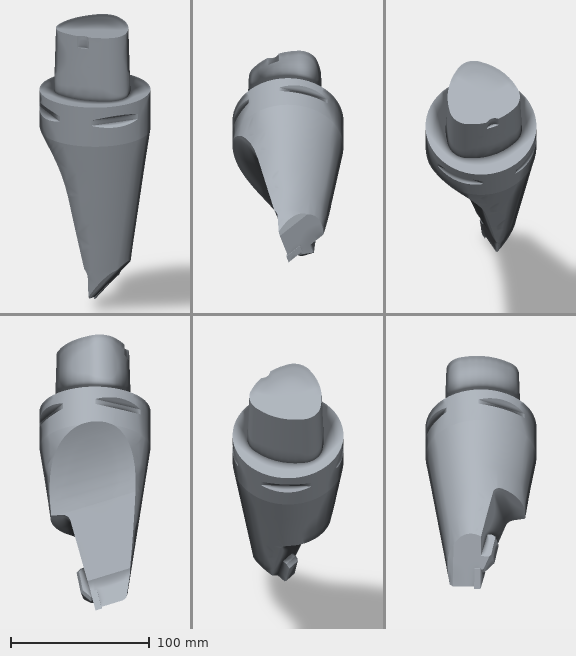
import cadquery as cq
import math


SHANK_HEIGHT = 47.8
SHANK_TAPER = 1.5
LOBE_COUNT = 3
LOBE_RADIUS = 29.7
FLANK_RADIUS = 25.4
SEAM_RADIUS = 27.9
SEAM_ANGLE = 20.6
KEYWAY_RADIUS = 6.2
KEYWAY_CENTRE_Y = -28.0
KEYWAY_HEIGHT = 8.7

FLANGE_DIAMETER = 80.0
FLANGE_RADIUS = FLANGE_DIAMETER / 2
FLANGE_HEIGHT = 30.0
NOTCH_COUNT = 4
NOTCH_FLAT_DISTANCE = 35.5
NOTCH_FLAT_TOP = -10.0
NOTCH_FLAT_BOTTOM = -14.0
NOTCH_MOUTH_TOP = -7.3
NOTCH_MOUTH_BOTTOM = -16.2

BODY_LENGTH = 160.2
BODY_END_RADIUS = 21.6

FRAME_TURN = math.radians(6)
FRAME_LIFT = math.radians(13.4)
CUT_REACH = 124.8
CUT_FLOOR = -3 * BODY_LENGTH

FLUTE_TOP = (-39.3, -29.0)
FACE_TOP = (-11.2, -78.6)
FACE_BOTTOM = (-0.8, -131.7)
STEP_MIDDLE = (1.0, -135.2)
STEP_BOTTOM = (1.5, -139.4)

RELIEF_FRONT = (1.5, -154.0)
RELIEF_BACK = (26.2, -124.8)
RELIEF_SLOPE = (RELIEF_BACK[1] - RELIEF_FRONT[1]) / (RELIEF_BACK[0] - RELIEF_FRONT[0])
HEEL_START = -15.5
HEEL_ANGLE = 20

WALL_ALONG = -36.8
LEDGE_Z = -86.7
WALL_FILLET = 6.2

BOSS_OUTLINE = [
    (-34.7, -116.5), (-40.1, -116.5), (-43.5, -118.5), (-44.3, -135.6), (-39.0, -144.4), (-34.7, -145.0),
]
BOSS_FRONT = 4.2
BOSS_DEPTH = 11.5
BOSS_CHAMFER = 2.0

INSERT_WIDTH = 4.8
INSERT_FRONT = 0.6
INSERT_BACK = 10.2
INSERT_TOP = -140.0
INSERT_TIP = -155.8
INSERT_BACK_BOTTOM = -144.1


def frame_axes():
    """Unit vectors of the cutting frame: across, along and up."""
    across = cq.Vector(math.cos(FRAME_TURN), math.sin(FRAME_TURN), 0)
    along = cq.Vector(
        math.sin(FRAME_TURN) * math.cos(FRAME_LIFT),
        -math.cos(FRAME_TURN) * math.cos(FRAME_LIFT),
        math.sin(FRAME_LIFT),
    )
    return across, along, along.cross(across)


ACROSS, ALONG, UP = frame_axes()


def profile_plane(along=0.0):
    """Plane with coordinates (across, up), whose normal runs along the cutting edge."""
    return cq.Workplane(cq.Plane(ALONG * along, ACROSS, ALONG))


def side_plane(across=0.0):
    """Plane with coordinates (-along, up), whose normal runs across into the blade."""
    return cq.Workplane(cq.Plane(ACROSS * across, ALONG * -1, ACROSS))


def polar_point(radius, angle):
    return radius * math.cos(math.radians(angle)), radius * math.sin(math.radians(angle))


def draw_lobed_outline(sketch, shrink):
    """Close an outline of lobe arcs and flank arcs, with one lobe towards +Y."""
    pitch = 360 / LOBE_COUNT
    first_crest = 90
    seam_radius = SEAM_RADIUS - shrink
    sketch = sketch.moveTo(*polar_point(seam_radius, first_crest - SEAM_ANGLE))
    for i in range(LOBE_COUNT):
        crest = first_crest + i * pitch
        sketch = sketch.threePointArc(
            polar_point(LOBE_RADIUS - shrink, crest),
            polar_point(seam_radius, crest + SEAM_ANGLE),
        )
        sketch = sketch.threePointArc(
            polar_point(FLANK_RADIUS - shrink, crest + pitch / 2),
            polar_point(seam_radius, crest + pitch - SEAM_ANGLE),
        )
    return sketch.close()


def make_shank():
    foot = draw_lobed_outline(cq.Workplane("XY"), 0)
    shank = draw_lobed_outline(foot.workplane(offset=SHANK_HEIGHT), SHANK_TAPER).loft(ruled=True)
    keyway = (
        cq.Workplane("XY", origin=(0, KEYWAY_CENTRE_Y, SHANK_HEIGHT - KEYWAY_HEIGHT))
        .circle(KEYWAY_RADIUS)
        .extrude(KEYWAY_HEIGHT)
    )
    return shank.cut(keyway)


def make_turned_body():
    """Cylindrical flange with the cone below it."""
    return (
        cq.Workplane("XZ")
        .moveTo(0, 0)
        .lineTo(FLANGE_RADIUS, 0)
        .lineTo(FLANGE_RADIUS, -FLANGE_HEIGHT)
        .lineTo(BODY_END_RADIUS, -BODY_LENGTH)
        .lineTo(0, -BODY_LENGTH)
        .close()
        .revolve(360, (0, 0, 0), (0, 1, 0))
    )


def make_notch(angle):
    """Gripper notch with a flat floor and flared sides."""
    return (
        cq.Workplane("XZ")
        .polyline([
            (NOTCH_FLAT_DISTANCE, NOTCH_FLAT_TOP),
            (FLANGE_RADIUS, NOTCH_MOUTH_TOP),
            (FLANGE_RADIUS, NOTCH_MOUTH_BOTTOM),
            (NOTCH_FLAT_DISTANCE, NOTCH_FLAT_BOTTOM),
        ])
        .close()
        .extrude(FLANGE_RADIUS, both=True)
        .rotate((0, 0, 0), (0, 0, 1), angle)
    )


def make_flute():
    """Cut that forms the curved flute, the rake face and the step above the insert."""
    face_direction = (FACE_TOP[0] - FACE_BOTTOM[0], FACE_TOP[1] - FACE_BOTTOM[1])
    chord_angle = math.atan2(FLUTE_TOP[1] - FACE_TOP[1], FLUTE_TOP[0] - FACE_TOP[0])
    end_angle = 2 * chord_angle - math.atan2(face_direction[1], face_direction[0])
    exit_point = (
        FLUTE_TOP[0] + FLANGE_RADIUS * math.cos(end_angle),
        FLUTE_TOP[1] + FLANGE_RADIUS * math.sin(end_angle),
    )
    return (
        profile_plane()
        .moveTo(STEP_BOTTOM[0], CUT_FLOOR)
        .lineTo(*STEP_BOTTOM)
        .threePointArc(STEP_MIDDLE, FACE_BOTTOM)
        .lineTo(*FACE_TOP)
        .tangentArcPoint(FLUTE_TOP, relative=False)
        .lineTo(*exit_point)
        .lineTo(-CUT_REACH, exit_point[1])
        .lineTo(-CUT_REACH, CUT_FLOOR)
        .close()
        .extrude(CUT_REACH, both=True)
    )


def make_side_cut():
    """Cut beside the blade: a level ledge, a rounded corner and the side wall."""
    def ledge_up(along):
        return (LEDGE_Z - along * math.sin(FRAME_LIFT)) / math.cos(FRAME_LIFT)

    outer_along = WALL_ALONG - CUT_REACH
    cut = (
        side_plane(-CUT_REACH)
        .polyline([
            (-WALL_ALONG, ledge_up(WALL_ALONG)),
            (-outer_along, ledge_up(outer_along)),
            (-outer_along, CUT_FLOOR),
            (-WALL_ALONG, CUT_FLOOR),
        ])
        .close()
        .extrude(2 * CUT_REACH)
    )
    corner = ALONG * WALL_ALONG + UP * ledge_up(WALL_ALONG)
    return cut.edges(cq.selectors.NearestToPointSelector(corner.toTuple())).fillet(WALL_FILLET)


def make_relief():
    """Cut below the blade that leaves a sloping clearance face."""
    return (
        profile_plane()
        .polyline([
            (-CUT_REACH, RELIEF_FRONT[1] - RELIEF_SLOPE * (CUT_REACH + RELIEF_FRONT[0])),
            (CUT_REACH, RELIEF_FRONT[1] + RELIEF_SLOPE * (CUT_REACH - RELIEF_FRONT[0])),
            (CUT_REACH, CUT_FLOOR),
            (-CUT_REACH, CUT_FLOOR),
        ])
        .close()
        .extrude(CUT_REACH, both=True)
    )


def frame_point(position, along):
    """Point in space from an (across, up) position and a distance along the edge."""
    return (ACROSS * position[0] + ALONG * along + UP * position[1]).toTuple()


def make_heel_bevel():
    """The relief cut again, tilted so that it rises towards the far end of the blade."""
    hinge_front = frame_point(RELIEF_FRONT, HEEL_START)
    hinge_back = frame_point(RELIEF_BACK, HEEL_START)
    return make_relief().rotate(hinge_front, hinge_back, -HEEL_ANGLE)


def make_boss():
    """Clamp boss that stands out from the side wall, with chamfered front edges."""
    return (
        side_plane(BOSS_FRONT)
        .polyline([(-along, up) for along, up in BOSS_OUTLINE])
        .close()
        .extrude(BOSS_DEPTH)
        .faces(cq.selectors.DirectionMinMaxSelector(ACROSS, False))
        .chamfer(BOSS_CHAMFER)
    )


def make_insert():
    """Cutting insert: a plate with a sloping clearance face below."""
    return (
        profile_plane(WALL_ALONG)
        .polyline([
            (INSERT_FRONT, INSERT_TOP),
            (INSERT_FRONT, INSERT_TIP),
            (INSERT_BACK, INSERT_BACK_BOTTOM),
            (INSERT_BACK, INSERT_TOP),
        ])
        .close()
        .extrude(INSERT_WIDTH)
    )


def make_holder(insert):
    holder = make_turned_body().cut(make_flute()).cut(make_side_cut()).union(make_boss())
    holder = holder.cut(make_relief()).cut(make_heel_bevel()).union(make_shank())
    for i in range(NOTCH_COUNT):
        holder = holder.cut(make_notch((i + 0.5) * 360 / NOTCH_COUNT))
    return holder.cut(insert)


insert = make_insert()
holder = make_holder(insert)

result = cq.Compound.makeCompound([*holder.vals(), *insert.vals()])